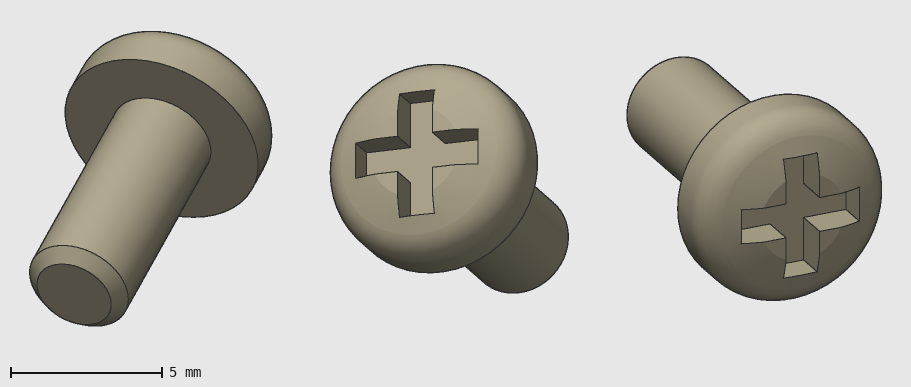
import cadquery as cq
import math

total_length = 10.41
head_height = 2.45
head_radius = 6.86 / 2
rim_height = 1.04
corner_radius = 1.09
dome_radius = 6.97

shank_length = total_length - head_height
shank_radius = 3.51 / 2
tip_chamfer = 0.44

recess_width = 1.23
recess_span = 4.31
recess_depth = 1.25

corner_center_radius = head_radius - corner_radius
center_distance = dome_radius - corner_radius
tilt = math.asin(corner_center_radius / center_distance)
dome_center_y = rim_height - center_distance * math.cos(tilt)
flat_radius = math.sqrt(dome_radius**2 - (head_height - dome_center_y) ** 2)


def corner_point(angle):
    """Point on the corner arc, with the angle measured from the screw axis."""
    return (
        corner_center_radius + corner_radius * math.sin(angle),
        rim_height + corner_radius * math.cos(angle),
    )


def make_head():
    """Head with a cylindrical rim, rounded corner, dome and small flat top."""
    corner_middle = corner_point((tilt + math.pi / 2) / 2)
    dome_edge = corner_point(tilt)
    middle_radius = (dome_edge[0] + flat_radius) / 2
    middle_y = dome_center_y + math.sqrt(dome_radius**2 - middle_radius**2)
    profile = (
        cq.Workplane("XY")
        .lineTo(head_radius, 0)
        .lineTo(head_radius, rim_height)
        .threePointArc(corner_middle, dome_edge)
        .threePointArc((middle_radius, middle_y), (flat_radius, head_height))
        .lineTo(0, head_height)
        .close()
    )
    return profile.revolve(360, (0, 0, 0), (0, 1, 0))


def make_shank():
    """Plain shank with a chamfered tip."""
    shank = cq.Workplane("XZ").circle(shank_radius).extrude(shank_length)
    return shank.faces("<Y").chamfer(tip_chamfer)


def make_recess():
    """Cross-shaped driver recess open at the top of the head."""
    center = (0, head_height - recess_depth / 2, 0)
    arm_x = cq.Workplane("XY").box(recess_span, recess_depth, recess_width).translate(center)
    arm_z = cq.Workplane("XY").box(recess_width, recess_depth, recess_span).translate(center)
    return arm_x.union(arm_z)


result = make_head().union(make_shank()).cut(make_recess())